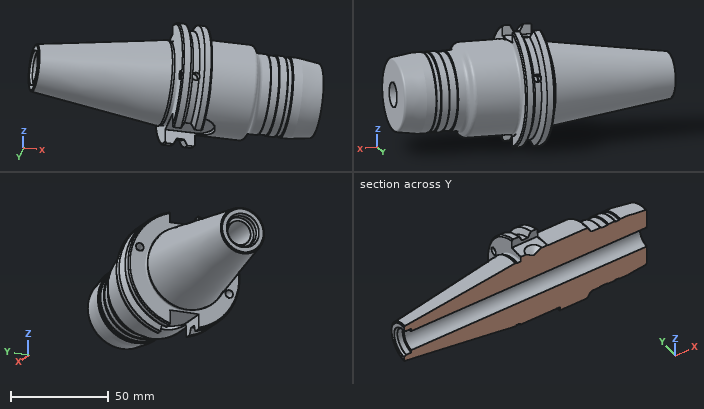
import cadquery as cq
import math

LENGTH = 148.8

TAPER_END_X = 68.1
TAPER_LARGE_R = 22.3
TAPER_PER_LENGTH = 7 / 24
TAPER_SMALL_R = TAPER_LARGE_R - TAPER_END_X * TAPER_PER_LENGTH / 2
TAPER_END_CHAMFER_X = 0.5
TAPER_END_CHAMFER_R = 0.7
NECK_X = 69.5
NECK_R = 43.6 / 2
NECK_FILLET = 0.5

FLANGE_X = 71.4
FLANGE_END_X = 87.2
FLANGE_R = 63.2 / 2
FLANGE_CHAMFER = 0.7
GROOVE_X = 79.5
GROOVE_FLOOR_R = 28.3
GROOVE_FLOOR_WIDTH = 3.4
GROOVE_ANGLE = 60
GROOVE_SIDE_WIDTH = (FLANGE_R - GROOVE_FLOOR_R) * math.tan(math.radians(GROOVE_ANGLE / 2))

BODY_R = 49.5 / 2
BODY_FILLET = 1.3
SHOULDER_X = 112.5
SHOULDER_ANGLE = 60
SHOULDER_FILLET = 2.1
NOSE_R = 42.0 / 2
SHOULDER_END_X = SHOULDER_X + (BODY_R - NOSE_R) / math.tan(math.radians(SHOULDER_ANGLE))

RELIEF_R = 41.0 / 2
RELIEF_STEP = NOSE_R - RELIEF_R
LAST_RELIEF_STEP_X = 0.6
RELIEF_BANDS = [
    (120.2, 125.1, RELIEF_STEP),
    (129.1, 132.2, LAST_RELIEF_STEP_X),
]
NOSE_TAPER_X = 137.1
NOSE_END_R = 19.3
NOSE_END_FILLET = 1.3

SLOT_WIDTH = 16.4
TOP_SLOT_Z = 25.0
BOTTOM_SLOT_Z = -22.6
BOTTOM_SLOT_ROUND_X = 87.3
DIMPLE_R = 9.5 / 2
DIMPLE_POINT_ANGLE = 118.0
DIMPLE_DEPTH = DIMPLE_R / math.tan(math.radians(DIMPLE_POINT_ANGLE / 2))

BORE_R = 13.0 / 2
MOUTH_R = 16.4 / 2
MOUTH_DEPTH = 4.5
MOUTH_CHAMFER_R = 18.3 / 2
MOUTH_CHAMFER_DEPTH = 1.3

COOLANT_ANGLES = (20.0, 200.0)
INLET_R = 4.2 / 2
INLET_CENTER_R = 26.9
INLET_LEAN = math.radians(15)
INLET_DEPTH_X = GROOVE_X - FLANGE_X
INLET_LENGTH = INLET_DEPTH_X / math.cos(INLET_LEAN)
RADIAL_HOLE_R = 4.0 / 2
RADIAL_HOLE_FLOOR_R = INLET_CENTER_R - INLET_DEPTH_X * math.tan(INLET_LEAN) - INLET_R


def relief_points():
    """Outline points of the relief bands."""
    points = []
    for start, end, end_step in RELIEF_BANDS:
        points += [
            (start, NOSE_R),
            (start + RELIEF_STEP, RELIEF_R),
            (end - end_step, RELIEF_R),
            (end, NOSE_R),
        ]
    return points


def round_circular_edge(body, x, radius, fillet):
    """Round the circular edge at the given x and radius."""
    tol = 0.01
    matches = [
        edge
        for edge in body.edges("%CIRCLE").vals()
        if abs(edge.Center().x - x) < tol and abs(edge.radius() - radius) < tol
    ]
    return body.newObject(matches).fillet(fillet)


def turned_body():
    """The solid of revolution without bore, slots or holes."""
    groove_start = GROOVE_X - GROOVE_FLOOR_WIDTH / 2
    groove_end = GROOVE_X + GROOVE_FLOOR_WIDTH / 2
    chamfered_r = FLANGE_R - FLANGE_CHAMFER
    outline = [
        (0, 0),
        (0, TAPER_SMALL_R - TAPER_END_CHAMFER_R),
        (TAPER_END_CHAMFER_X, TAPER_SMALL_R),
        (TAPER_END_X, TAPER_LARGE_R),
        (NECK_X, NECK_R),
        (FLANGE_X, NECK_R),
        (FLANGE_X, chamfered_r),
        (FLANGE_X + FLANGE_CHAMFER, FLANGE_R),
        (groove_start - GROOVE_SIDE_WIDTH, FLANGE_R),
        (groove_start, GROOVE_FLOOR_R),
        (groove_end, GROOVE_FLOOR_R),
        (groove_end + GROOVE_SIDE_WIDTH, FLANGE_R),
        (FLANGE_END_X - FLANGE_CHAMFER, FLANGE_R),
        (FLANGE_END_X, chamfered_r),
        (FLANGE_END_X, BODY_R),
        (SHOULDER_X, BODY_R),
        (SHOULDER_END_X, NOSE_R),
        *relief_points(),
        (NOSE_TAPER_X, NOSE_R),
        (LENGTH, NOSE_END_R),
        (LENGTH, 0),
    ]
    body = cq.Workplane("XY").polyline(outline).close().revolve(360, (0, 0, 0), (1, 0, 0))
    rounded_edges = [
        (FLANGE_X, NECK_R, NECK_FILLET),
        (FLANGE_END_X, BODY_R, BODY_FILLET),
        (SHOULDER_X, BODY_R, SHOULDER_FILLET),
        (SHOULDER_END_X, NOSE_R, SHOULDER_FILLET),
        (LENGTH, NOSE_END_R, NOSE_END_FILLET),
    ]
    for x, radius, fillet in rounded_edges:
        body = round_circular_edge(body, x, radius, fillet)
    return body


def bore():
    """Through bore with the wider mouth at the taper end."""
    outline = [
        (0, 0),
        (0, MOUTH_CHAMFER_R),
        (MOUTH_CHAMFER_DEPTH, MOUTH_R),
        (MOUTH_DEPTH, MOUTH_R),
        (MOUTH_DEPTH, BORE_R),
        (LENGTH, BORE_R),
        (LENGTH, 0),
    ]
    return cq.Workplane("XY").polyline(outline).close().revolve(360, (0, 0, 0), (1, 0, 0))


def top_slot():
    """Square drive slot with a conical dimple in its floor."""
    slot = cq.Workplane("XY", origin=(0, 0, TOP_SLOT_Z)).rect(2 * LENGTH, SLOT_WIDTH).extrude(FLANGE_R)
    dimple = cq.Solid.makeCone(
        DIMPLE_R, 0, DIMPLE_DEPTH, cq.Vector(GROOVE_X, 0, TOP_SLOT_Z), cq.Vector(0, 0, -1)
    )
    return slot.union(cq.Workplane(dimple))


def bottom_slot():
    """Deeper drive slot that runs into the body with a round end."""
    half = SLOT_WIDTH / 2
    return (
        cq.Workplane("XY", origin=(0, 0, BOTTOM_SLOT_Z))
        .moveTo(NECK_X, -half)
        .lineTo(BOTTOM_SLOT_ROUND_X, -half)
        .threePointArc((BOTTOM_SLOT_ROUND_X + half, 0), (BOTTOM_SLOT_ROUND_X, half))
        .lineTo(NECK_X, half)
        .close()
        .extrude(-FLANGE_R)
    )


def coolant_passage(angle):
    """Leaning inlet hole and radial hole, placed at an angle from +Y towards +Z."""
    along = cq.Vector(1, 0, 0)
    outward = cq.Vector(0, math.cos(math.radians(angle)), math.sin(math.radians(angle)))
    inlet_direction = along * math.cos(INLET_LEAN) - outward * math.sin(INLET_LEAN)
    inlet_start = along * FLANGE_X + outward * INLET_CENTER_R
    inlet = cq.Solid.makeCylinder(
        INLET_R,
        INLET_LENGTH + INLET_R,
        inlet_start - inlet_direction * INLET_R,
        inlet_direction,
    )
    radial_start = along * GROOVE_X + outward * RADIAL_HOLE_FLOOR_R
    radial_length = FLANGE_R - RADIAL_HOLE_FLOOR_R
    radial_hole = cq.Solid.makeCylinder(RADIAL_HOLE_R, radial_length, radial_start, outward)
    return cq.Workplane(inlet).union(cq.Workplane(radial_hole))


result = turned_body().cut(bore()).cut(top_slot()).cut(bottom_slot())
for passage_angle in COOLANT_ANGLES:
    result = result.cut(coolant_passage(passage_angle))